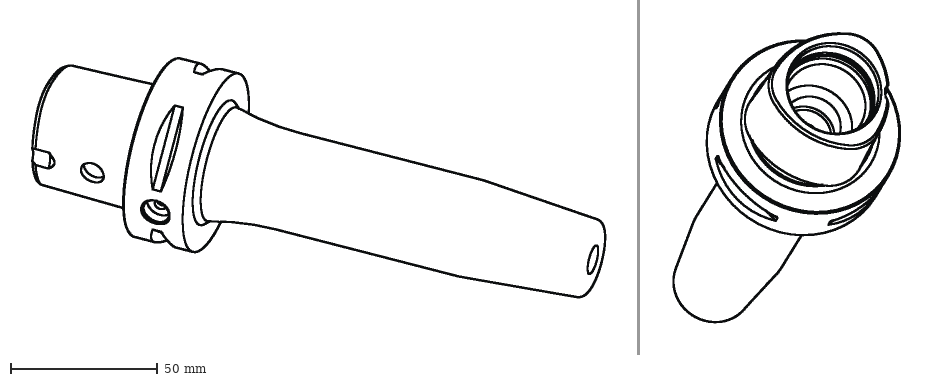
import cadquery as cq
import math

SHANK_LENGTH = 38.0
NOSE_LENGTH = 160.0
OVERCUT = 1.0

LOBE_COUNT = 3
LOBE_CENTER_OFFSET = 10.5
GAUGE_LOBE_RADIUS = 12.9
TAPER_SLOPE = 1 / 40
SHANK_CHAMFER = 1.5
SHANK_CHAMFER_DEPTH = 0.8
NECK_LENGTH = 2.2
NECK_RADIUS = 22.0
NECK_FLARE_RADIUS = 24.2
NECK_FLARE_LENGTH = 0.8

FLANGE_RADIUS = 31.5
FLANGE_WIDTH = 22.0
FLANGE_CHAMFER = 0.5

SLOT_CENTER_X = 12.0
SLOT_FLOOR_DISTANCE = 27.8
SLOT_FLOOR_WIDTH = 3.0
SLOT_RIM_WIDTH = 7.8
SLOT_COUNT = 4

COLLAR_RADIUS = 22.0
COLLAR_LENGTH = 2.2
NECK_START_RADIUS = 20.1
BODY_RADIUS = 17.0
BODY_START_X = 48.6
BODY_END_X = 115.6
TIP_RADIUS = 13.6
TIP_FILLET = 2.5

MOUTH_RADIUS = 16.6
MOUTH_CHAMFER = 1.3
ENTRY_RADIUS = 15.9
ENTRY_DEPTH = 7.8
LAND_RADIUS = 15.4
LAND_START_DEPTH = 8.6
LAND_DEPTH = 9.6
RELIEF_RADIUS = 15.7
RELIEF_START_DEPTH = 10.4
RELIEF_DEPTH = 13.1
CLAMP_RADIUS = 14.2
CLAMP_DEPTH = 36.0
COUNTERBORE_RADIUS = 10.2
COUNTERBORE_DEPTH = 46.0
CONE_RADIUS = 9.0
CONE_LENGTH = 2.4
THROUGH_RADIUS = 5.0

SIDE_HOLE_RADIUS = 4.2
SIDE_HOLE_X = -15.4
SIDE_HOLE_FLOOR_Y = -17.3
NOTCH_RADIUS = 5.0
NOTCH_AXIS_Y = -22.9
NOTCH_LENGTH = 6.3
NOTCH_POINT_ANGLE = 80.0
DATA_HOLE_RADIUS = 4.7
DATA_HOLE_DEPTH = 4.6
DATA_HOLE_CHAMFER = 0.5
DATA_HOLE_CHAMFER_DEPTH = 1.0
PILOT_RADIUS = 2.0
PILOT_DEPTH = 2.0
DRILL_POINT_ANGLE = 118.0


def polar(center, radius, degrees):
    """Point at the given angle and radius about a (Y, Z) center."""
    angle = math.radians(degrees)
    return (center[0] + radius * math.cos(angle), center[1] + radius * math.sin(angle))


def polygon_section(x, lobe_radius):
    """Constant-width three-lobed wire in the plane at x, with one lobe toward +Y."""
    pitch = 360 / LOBE_COUNT
    half_arc = pitch / 4
    flat_radius = lobe_radius + LOBE_CENTER_OFFSET * math.sqrt(LOBE_COUNT)
    lobe_center = polar((0, 0), LOBE_CENTER_OFFSET, 0)
    section = cq.Workplane("YZ", origin=(x, 0, 0)).moveTo(*polar(lobe_center, lobe_radius, -half_arc))
    for lobe in range(LOBE_COUNT):
        lobe_angle = lobe * pitch
        flat_angle = lobe_angle + pitch / 2
        lobe_center = polar((0, 0), LOBE_CENTER_OFFSET, lobe_angle)
        flat_center = polar((0, 0), LOBE_CENTER_OFFSET, flat_angle + 180)
        section = section.threePointArc(
            polar(lobe_center, lobe_radius, lobe_angle),
            polar(lobe_center, lobe_radius, lobe_angle + half_arc),
        )
        section = section.threePointArc(
            polar(flat_center, flat_radius, flat_angle),
            polar(flat_center, flat_radius, flat_angle + half_arc),
        )
    return section.close().val()


def lobe_radius_at(x):
    """Lobe radius of the tapered shank at a position along the axis."""
    return GAUGE_LOBE_RADIUS + x * TAPER_SLOPE


def make_shank():
    """Tapered polygon shank with a chamfered free end."""
    front = -SHANK_LENGTH
    chamfer_end = front + SHANK_CHAMFER
    back = -NECK_LENGTH
    front_wire = polygon_section(front, lobe_radius_at(front) - SHANK_CHAMFER_DEPTH)
    chamfer_wire = polygon_section(chamfer_end, lobe_radius_at(chamfer_end))
    back_wire = polygon_section(back, lobe_radius_at(back))
    tip = cq.Solid.makeLoft([front_wire, chamfer_wire], True)
    taper = cq.Solid.makeLoft([chamfer_wire, back_wire], True)
    return cq.Workplane(tip).union(cq.Workplane(taper))


def revolve_about_x(outline):
    """Turn an (X, radius) outline about the X axis."""
    return outline.close().revolve(360, (0, 0, 0), (1, 0, 0))


def make_turned_body():
    """Neck, flange and nose in one turned outline."""
    neck_arc_x = FLANGE_WIDTH + COLLAR_LENGTH
    run = BODY_START_X - neck_arc_x
    drop = NECK_START_RADIUS - BODY_RADIUS
    arc_radius = (run**2 + drop**2) / (2 * drop)
    mid_run = run / 2
    mid_radius = BODY_RADIUS + arc_radius - math.sqrt(arc_radius**2 - mid_run**2)
    outline = (
        cq.Workplane("XZ")
        .moveTo(-NECK_LENGTH - OVERCUT, 0)
        .lineTo(-NECK_LENGTH - OVERCUT, COUNTERBORE_RADIUS)
        .lineTo(-NECK_LENGTH, NECK_RADIUS)
        .lineTo(-NECK_FLARE_LENGTH, NECK_RADIUS)
        .lineTo(0, NECK_FLARE_RADIUS)
        .lineTo(0, FLANGE_RADIUS - FLANGE_CHAMFER)
        .lineTo(FLANGE_CHAMFER, FLANGE_RADIUS)
        .lineTo(FLANGE_WIDTH, FLANGE_RADIUS)
        .lineTo(FLANGE_WIDTH, COLLAR_RADIUS)
        .lineTo(neck_arc_x, NECK_START_RADIUS)
        .threePointArc((BODY_START_X - mid_run, mid_radius), (BODY_START_X, BODY_RADIUS))
        .lineTo(BODY_END_X, BODY_RADIUS)
        .lineTo(NOSE_LENGTH, TIP_RADIUS)
        .lineTo(NOSE_LENGTH, 0)
    )
    body = revolve_about_x(outline)
    return body.faces(">X").edges().fillet(TIP_FILLET)


def make_bore():
    """Stepped clamping bore that narrows through a cone to the through hole."""
    mouth = -SHANK_LENGTH
    clamp_start = mouth + RELIEF_DEPTH + RELIEF_RADIUS - CLAMP_RADIUS
    cone_start = mouth + COUNTERBORE_DEPTH
    outline = (
        cq.Workplane("XZ")
        .moveTo(mouth, 0)
        .lineTo(mouth, MOUTH_RADIUS)
        .lineTo(mouth + MOUTH_CHAMFER, ENTRY_RADIUS)
        .lineTo(mouth + ENTRY_DEPTH, ENTRY_RADIUS)
        .lineTo(mouth + LAND_START_DEPTH, LAND_RADIUS)
        .lineTo(mouth + LAND_DEPTH, LAND_RADIUS)
        .lineTo(mouth + RELIEF_START_DEPTH, RELIEF_RADIUS)
        .lineTo(mouth + RELIEF_DEPTH, RELIEF_RADIUS)
        .lineTo(clamp_start, CLAMP_RADIUS)
        .lineTo(mouth + CLAMP_DEPTH, CLAMP_RADIUS)
        .lineTo(mouth + CLAMP_DEPTH, COUNTERBORE_RADIUS)
        .lineTo(cone_start, COUNTERBORE_RADIUS)
        .lineTo(cone_start, CONE_RADIUS)
        .lineTo(cone_start + CONE_LENGTH, THROUGH_RADIUS)
        .lineTo(NOSE_LENGTH, THROUGH_RADIUS)
        .lineTo(NOSE_LENGTH, 0)
    )
    return revolve_about_x(outline)


def make_gripper_slots():
    """Straight slots across the rim at 45 degrees to the Y and Z axes."""
    depth = FLANGE_RADIUS - SLOT_FLOOR_DISTANCE
    wall_slope = (SLOT_RIM_WIDTH - SLOT_FLOOR_WIDTH) / 2 / depth
    top = FLANGE_RADIUS + OVERCUT
    half_floor = SLOT_FLOOR_WIDTH / 2
    half_top = half_floor + wall_slope * (top - SLOT_FLOOR_DISTANCE)
    slot = (
        cq.Workplane("XZ")
        .moveTo(SLOT_CENTER_X - half_floor, SLOT_FLOOR_DISTANCE)
        .lineTo(SLOT_CENTER_X + half_floor, SLOT_FLOOR_DISTANCE)
        .lineTo(SLOT_CENTER_X + half_top, top)
        .lineTo(SLOT_CENTER_X - half_top, top)
        .close()
        .extrude(FLANGE_RADIUS, both=True)
    )
    pitch = 360 / SLOT_COUNT
    slots = cq.Workplane()
    for index in range(SLOT_COUNT):
        slots = slots.add(slot.rotate((0, 0, 0), (1, 0, 0), (index + 0.5) * pitch))
    return slots.combine()


def drill(radius, depth, point_angle=DRILL_POINT_ANGLE):
    """Drill shape along +X from the origin with a conical point beyond its depth."""
    point = radius / math.tan(math.radians(point_angle / 2))
    outline = (
        cq.Workplane("XZ")
        .moveTo(0, 0)
        .lineTo(0, radius)
        .lineTo(depth, radius)
        .lineTo(depth + point, 0)
    )
    return revolve_about_x(outline)


def make_notch():
    """Shallow drilled notch that runs in from the shank end on the -Y side."""
    notch = drill(NOTCH_RADIUS, NOTCH_LENGTH, NOTCH_POINT_ANGLE)
    return notch.translate((-SHANK_LENGTH, NOTCH_AXIS_Y, 0))


def aim_inward(tool, x, start_y):
    """Turn a tool shape from +X to +Y and start it at a point on the -Y side."""
    return tool.rotate((0, 0, 0), (0, 0, 1), 90).translate((x, start_y, 0))


def make_side_hole():
    """Blind drilled hole in the -Y flat of the shank, ending short of the bore."""
    start_y = -NECK_FLARE_RADIUS
    hole = drill(SIDE_HOLE_RADIUS, SIDE_HOLE_FLOOR_Y - start_y)
    return aim_inward(hole, SIDE_HOLE_X, start_y)


def make_data_hole():
    """Chamfered blind hole in the rim with a small drilled pilot in its floor."""
    rim_radius = DATA_HOLE_RADIUS + DATA_HOLE_CHAMFER
    outline = (
        cq.Workplane("XZ")
        .moveTo(-OVERCUT, 0)
        .lineTo(-OVERCUT, rim_radius)
        .lineTo(DATA_HOLE_CHAMFER, rim_radius)
        .lineTo(DATA_HOLE_CHAMFER_DEPTH, DATA_HOLE_RADIUS)
        .lineTo(DATA_HOLE_DEPTH, DATA_HOLE_RADIUS)
        .lineTo(DATA_HOLE_DEPTH, 0)
    )
    pilot = drill(PILOT_RADIUS, PILOT_DEPTH).translate((DATA_HOLE_DEPTH, 0, 0))
    hole = revolve_about_x(outline).union(pilot)
    return aim_inward(hole, SLOT_CENTER_X, -FLANGE_RADIUS)


result = (
    make_turned_body()
    .union(make_shank())
    .cut(make_bore())
    .cut(make_gripper_slots())
    .cut(make_notch())
    .cut(make_side_hole())
    .cut(make_data_hole())
)